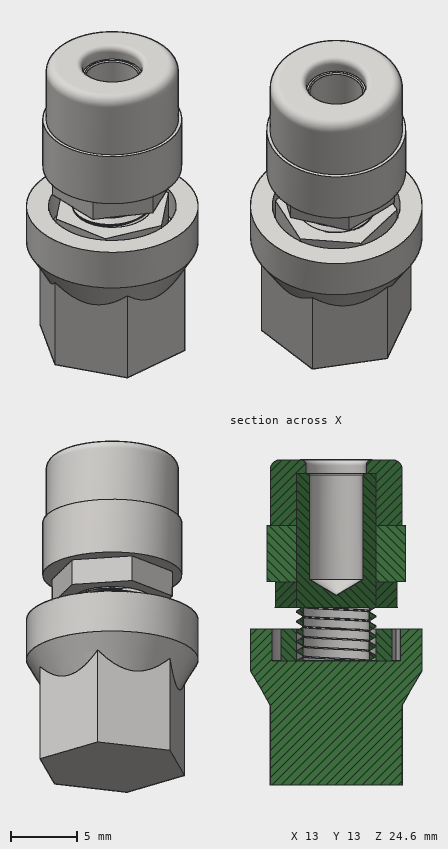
import cadquery as cq
import math

FLANGE_BOTTOM = 8.6
FLANGE_TOP = 11.8
UPPER_NUT_BOTTOM = 13.4
SLEEVE_BOTTOM = 15.37
CAP_BOTTOM = 19.6
CAP_TOP = 24.57

SOCKET_ACROSS_FLATS = 10.0
FLANGE_DIAMETER = 12.97
FLARE_SLOPE = math.radians(60)
RECESS_DIAMETER = 9.64
RECESS_DEPTH = 2.4

NUT_ACROSS_FLATS = 8.0
UPPER_NUT_ANGLE = 30.0
LOWER_NUT_ANGLE = 42.0

SLEEVE_DIAMETER = 10.5
CAP_DIAMETER = 10.0
CAP_OUTER_ROUND = 0.75
CAP_MOUTH_DIAMETER = 4.5
CAP_MOUTH_ROUND = 0.45
CAP_MOUTH_DEPTH = 1.05

STEM_DIAMETER = 6.0
THREAD_PITCH = 0.75
THREAD_DEPTH_RATIO = 0.6134
THREAD_HEIGHT = THREAD_DEPTH_RATIO * THREAD_PITCH
THREAD_CREST_WIDTH = THREAD_PITCH / 8
THREAD_ROOT_WIDTH = THREAD_PITCH * 7 / 8
THREAD_ROOT_OVERLAP = 0.05
THREAD_CREST_LIFT = 0.37
PLUG_HOLE_DIAMETER = 4.0
PLUG_HOLE_DEPTH = 8.0
PLUG_HOLE_CHAMFER = 0.1
DRILL_POINT_ANGLE = math.radians(118)

RECESS_FLOOR = FLANGE_TOP - RECESS_DEPTH
CONTACT_TOP = CAP_TOP - CAP_MOUTH_DEPTH


def cylinder(diameter, bottom, top):
    return cq.Workplane("XY").workplane(offset=bottom).circle(diameter / 2).extrude(top - bottom)


def hexagon(across_flats, bottom, top, angle=0.0):
    """Hexagonal prism with one corner at the given angle from +X."""
    across_corners = across_flats / math.cos(math.radians(30))
    prism = cq.Workplane("XY").workplane(offset=bottom).polygon(6, across_corners).extrude(top - bottom)
    return prism.rotate((0, 0, 0), (0, 0, 1), angle)


def make_socket():
    flange_radius = FLANGE_DIAMETER / 2
    flare_end_radius = RECESS_DIAMETER / 2
    flare_end = FLANGE_BOTTOM - (flange_radius - flare_end_radius) * math.tan(FLARE_SLOPE)
    flange = (
        cq.Workplane("XZ")
        .moveTo(0, flare_end)
        .lineTo(flare_end_radius, flare_end)
        .lineTo(flange_radius, FLANGE_BOTTOM)
        .lineTo(flange_radius, FLANGE_TOP)
        .lineTo(0, FLANGE_TOP)
        .close()
        .revolve(360, (0, 0, 0), (0, 1, 0))
    )
    shank = hexagon(SOCKET_ACROSS_FLATS, 0, FLANGE_BOTTOM)
    return shank.union(flange).cut(cylinder(RECESS_DIAMETER, RECESS_FLOOR, FLANGE_TOP))


def make_nut(bottom, top, angle):
    return hexagon(NUT_ACROSS_FLATS, bottom, top, angle).cut(cylinder(STEM_DIAMETER, bottom, top))


def make_sleeve():
    sleeve = cylinder(SLEEVE_DIAMETER, SLEEVE_BOTTOM, CAP_BOTTOM)
    return sleeve.cut(cylinder(STEM_DIAMETER, SLEEVE_BOTTOM, CAP_BOTTOM))


def make_cap():
    cap = cylinder(CAP_DIAMETER, CAP_BOTTOM, CAP_TOP).faces(">Z").edges().fillet(CAP_OUTER_ROUND)
    cap = cap.cut(cylinder(CAP_MOUTH_DIAMETER, CAP_BOTTOM, CAP_TOP))
    cap = cap.faces(">Z").edges(cq.selectors.RadiusNthSelector(0)).fillet(CAP_MOUTH_ROUND)
    return cap.cut(cylinder(STEM_DIAMETER, CAP_BOTTOM, CONTACT_TOP))


def make_thread(bottom, top):
    """Right-hand thread on a core, cut square at both ends."""
    crest_radius = STEM_DIAMETER / 2
    root_radius = crest_radius - THREAD_HEIGHT
    reference_crest = FLANGE_TOP + THREAD_CREST_LIFT
    turns_below = math.ceil((reference_crest - bottom) / THREAD_PITCH) + 1
    start = reference_crest - turns_below * THREAD_PITCH
    turns = math.ceil((top - start) / THREAD_PITCH) + 1
    path = cq.Wire.makeHelix(THREAD_PITCH, turns * THREAD_PITCH, root_radius)
    inner_radius = root_radius - THREAD_ROOT_OVERLAP
    ridge = (
        cq.Workplane("XZ")
        .moveTo(inner_radius, -THREAD_ROOT_WIDTH / 2)
        .lineTo(root_radius, -THREAD_ROOT_WIDTH / 2)
        .lineTo(crest_radius, -THREAD_CREST_WIDTH / 2)
        .lineTo(crest_radius, THREAD_CREST_WIDTH / 2)
        .lineTo(root_radius, THREAD_ROOT_WIDTH / 2)
        .lineTo(inner_radius, THREAD_ROOT_WIDTH / 2)
        .close()
        .sweep(cq.Workplane(obj=path), isFrenet=True)
        .translate((0, 0, start))
    )
    ridge = ridge.intersect(cylinder(2 * STEM_DIAMETER, bottom, top))
    return cylinder(2 * root_radius, bottom, top).union(ridge)


def make_contact():
    stem = cylinder(STEM_DIAMETER, UPPER_NUT_BOTTOM, CONTACT_TOP)
    hole_radius = PLUG_HOLE_DIAMETER / 2
    hole_bottom = CONTACT_TOP - PLUG_HOLE_DEPTH
    drill_tip = hole_bottom - hole_radius / math.tan(DRILL_POINT_ANGLE / 2)
    plug_hole = (
        cq.Workplane("XZ")
        .moveTo(0, drill_tip)
        .lineTo(hole_radius, hole_bottom)
        .lineTo(hole_radius, CONTACT_TOP - PLUG_HOLE_CHAMFER)
        .lineTo(hole_radius + PLUG_HOLE_CHAMFER, CONTACT_TOP)
        .lineTo(0, CONTACT_TOP)
        .close()
        .revolve(360, (0, 0, 0), (0, 1, 0))
    )
    return stem.union(make_thread(RECESS_FLOOR, UPPER_NUT_BOTTOM)).cut(plug_hole)


socket = make_socket()
lower_nut = make_nut(RECESS_FLOOR, FLANGE_TOP, LOWER_NUT_ANGLE)
upper_nut = make_nut(UPPER_NUT_BOTTOM, SLEEVE_BOTTOM, UPPER_NUT_ANGLE)
sleeve = make_sleeve()
cap = make_cap()
contact = make_contact()

result = cq.Compound.makeCompound(
    [socket.val(), lower_nut.val(), upper_nut.val(), sleeve.val(), cap.val(), contact.val()]
)